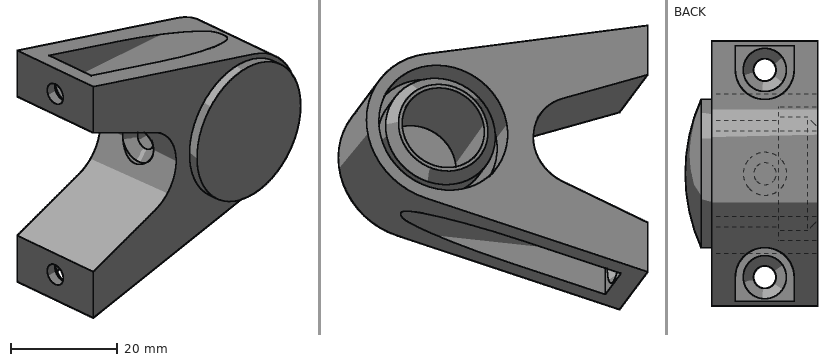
import cadquery as cq
import math

total_length = 55.0
eye_radius = 15.0
width = 20.0
mid_x = width / 2
tip_y = eye_radius - total_length
fork_height = 50.0
tip_height = 10.0
tip_top = fork_height / 2
tip_bottom = tip_top - tip_height

notch_radius = 9.0
notch_depth = 22.4
notch_center_y = tip_y + notch_depth - notch_radius

bolt_radius = 2.1
bolt_z = 19.5
slot_radius = 5.55
slot_wall = 4.0

countersink_radius = 4.05
countersink_depth = countersink_radius - bolt_radius

bore_radius = 10.0
recess_radius = 12.6
recess_depth = 7.5

flange_radius = 14.0
flange_thickness = 2.0
cap_overall = 25.0
dome_height = cap_overall - width - flange_thickness
lip_radius = 10.7
lip_chamfer = 2.0
hollow_radius = 8.05


def tangent_point(center_y, radius, tip_z):
    """Point (y, z) where a line from the arm tip touches the upper side of a circle."""
    dy = tip_y - center_y
    angle = math.atan2(tip_z, dy) - math.acos(radius / math.hypot(dy, tip_z))
    return center_y + radius * math.cos(angle), radius * math.sin(angle)


def cylinder_y(start_y, z, radius, length):
    """Cylinder at mid width that runs toward +Y from start_y."""
    start = cq.Vector(mid_x, start_y, z)
    return cq.Workplane(cq.Solid.makeCylinder(radius, length, start, cq.Vector(0, 1, 0)))


def cylinder_x(radius, length):
    """Cylinder about the bore axis, from the open face toward +X."""
    return cq.Workplane("YZ").circle(radius).extrude(length)


def make_fork():
    outer_y, outer_z = tangent_point(0, eye_radius, tip_top)
    inner_y, inner_z = tangent_point(notch_center_y, notch_radius, tip_bottom)
    return (
        cq.Workplane("YZ")
        .moveTo(tip_y, tip_top)
        .lineTo(outer_y, outer_z)
        .threePointArc((eye_radius, 0), (outer_y, -outer_z))
        .lineTo(tip_y, -tip_top)
        .lineTo(tip_y, -tip_bottom)
        .lineTo(inner_y, -inner_z)
        .threePointArc((tip_y + notch_depth, 0), (inner_y, inner_z))
        .lineTo(tip_y, tip_bottom)
        .close()
        .extrude(width)
    )


def make_slot(side):
    """Round-bottomed slot, open to the outside of the upper (+1) or lower (-1) arm."""
    start_y = tip_y + slot_wall
    length = eye_radius - start_y
    trough = cylinder_y(start_y, side * bolt_z, slot_radius, length)
    opening = cq.Workplane("XY").box(2 * slot_radius, length, tip_top, centered=(True, False, True))
    return trough.union(opening.translate((mid_x, start_y, side * (bolt_z + tip_top / 2))))


def countersink_y(start_y, z, start_radius, end_radius):
    """Countersink cone that runs toward +Y from start_y."""
    start = cq.Vector(mid_x, start_y, z)
    return cq.Workplane(
        cq.Solid.makeCone(start_radius, end_radius, countersink_depth, start, cq.Vector(0, 1, 0))
    )


def make_bolt_hole(side):
    """Hole through the end wall of one arm, countersunk from the slot."""
    z = side * bolt_z
    hole = cylinder_y(tip_y, z, bolt_radius, slot_wall)
    sink_y = tip_y + slot_wall - countersink_depth
    return hole.union(countersink_y(sink_y, z, bolt_radius, countersink_radius))


def make_notch_hole():
    """Hole from the bottom of the notch into the bore, countersunk from the notch."""
    notch_y = tip_y + notch_depth
    hole = cylinder_y(notch_y, 0, bolt_radius, -notch_y)
    mouth = cylinder_y(notch_center_y, 0, countersink_radius, notch_y - notch_center_y)
    return hole.union(countersink_y(notch_y, 0, countersink_radius, bolt_radius)).union(mouth)


def make_housing():
    body = make_fork()
    for side in (1, -1):
        body = body.cut(make_slot(side))
        body = body.cut(make_bolt_hole(side))
    body = body.cut(make_notch_hole())
    body = body.cut(cylinder_x(bore_radius, width))
    return body.cut(cylinder_x(recess_radius, recess_depth))


def make_cap():
    """Solid of revolution about the bore axis, with a profile of (x, radius) points."""
    flange_x = width + flange_thickness
    apex_x = flange_x + dome_height
    dome_radius = (flange_radius**2 + dome_height**2) / (2 * dome_height)
    half_angle = math.asin(flange_radius / dome_radius) / 2
    dome_middle = (
        apex_x - dome_radius * (1 - math.cos(half_angle)),
        dome_radius * math.sin(half_angle),
    )
    return (
        cq.Workplane("XY")
        .moveTo(0, hollow_radius)
        .lineTo(0, lip_radius - lip_chamfer)
        .lineTo(lip_chamfer, lip_radius)
        .lineTo(recess_depth, lip_radius)
        .lineTo(recess_depth, bore_radius)
        .lineTo(width, bore_radius)
        .lineTo(width, flange_radius)
        .lineTo(flange_x, flange_radius)
        .threePointArc(dome_middle, (apex_x, 0))
        .lineTo(width, 0)
        .lineTo(width, hollow_radius)
        .close()
        .revolve(360, (0, 0, 0), (1, 0, 0))
    )


housing = make_housing()
cap = make_cap()
result = cq.Compound.makeCompound([housing.val(), cap.val()])